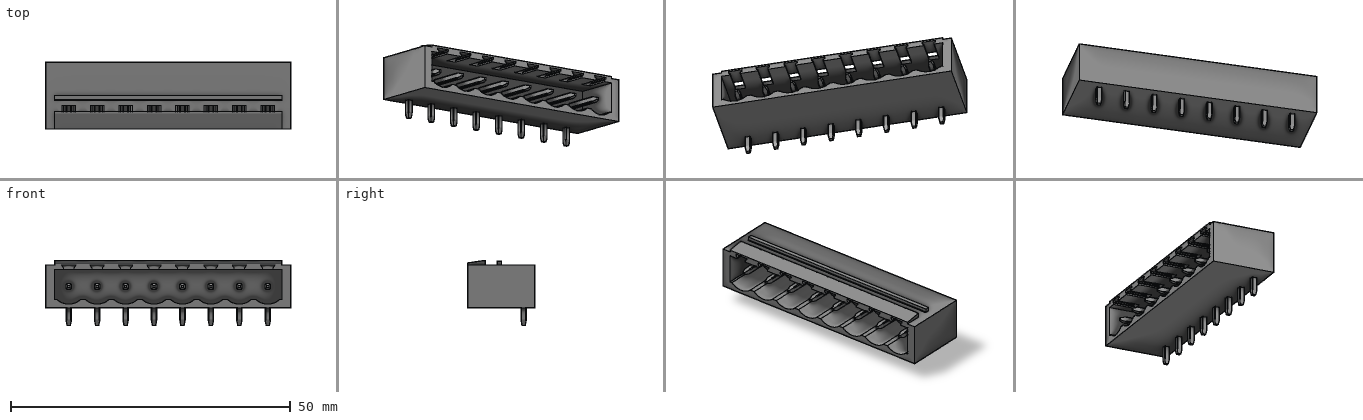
import cadquery as cq

pin_count = 8
pitch = 5.08
pin_xs = [(i - (pin_count - 1) / 2) * pitch for i in range(pin_count)]

side_wall = 1.6
cavity_width = pin_count * pitch
housing_width = cavity_width + 2 * side_wall
housing_depth = 12.0
housing_height = 7.67

cavity_depth = 8.5
cavity_floor_z = 1.45
cavity_ceiling_z = 6.85

pin_size = 1.0
pin_edge_bevel = 0.15
contact_end_size = 0.4
leg_end_size = 0.6
contact_taper = 1.2
leg_taper = 1.05
pin_z = 3.8
pin_tip_y = 0.8
leg_y = 10.0
leg_length = 3.2

flute_radius = 3.15

ridge_depth = 3.15
ridge_land = 0.4
ridge_front_height = 0.36
ridge_back_height = 0.76

slot_depth = 4.2
slot_top_width = 2.42
slot_throat_width = 1.84
slot_lip_height = 0.25

rib_front_y = 5.27
rib_back_y = 6.05
rib_foot_depth = 0.13
rib_foot_height = 0.08
rib_height = 0.65


def extrude_back(outline, depth):
    """Extrude an XZ outline from the mating face towards +Y."""
    return outline.extrude(-depth)


def top_strip(profile):
    """Bar as long as the cavity is wide, from a (y, z) profile."""
    start = cq.Workplane("YZ").workplane(offset=-cavity_width / 2)
    return start.polyline(profile).close().extrude(cavity_width)


def make_ridge():
    return top_strip([
        (0, housing_height),
        (ridge_depth, housing_height),
        (ridge_depth, housing_height + ridge_back_height),
        (ridge_depth - ridge_land, housing_height + ridge_back_height),
        (0, housing_height + ridge_front_height),
    ])


def make_rib():
    return top_strip([
        (rib_front_y - rib_foot_depth, housing_height),
        (rib_back_y, housing_height),
        (rib_back_y, housing_height + rib_height),
        (rib_front_y, housing_height + rib_height),
        (rib_front_y, housing_height + rib_foot_height),
    ])


def make_cavity():
    cavity = cq.Workplane("XY").box(
        cavity_width,
        cavity_depth,
        cavity_ceiling_z - cavity_floor_z,
        centered=(True, False, False),
    ).translate((0, 0, cavity_floor_z))
    for x in pin_xs:
        flute = extrude_back(cq.Workplane("XZ").center(x, pin_z).circle(flute_radius), cavity_depth)
        below_pin = cq.Workplane("XY").box(
            pitch, cavity_depth, pin_z, centered=(True, False, False)
        ).translate((x, 0, 0))
        cavity = cavity.union(flute.intersect(below_pin))
    return cavity


def make_slot(x):
    throat_top_z = housing_height - slot_lip_height - (slot_top_width - slot_throat_width) / 2
    outline = cq.Workplane("XZ").polyline([
        (x - slot_top_width / 2, housing_height),
        (x + slot_top_width / 2, housing_height),
        (x + slot_top_width / 2, housing_height - slot_lip_height),
        (x + slot_throat_width / 2, throat_top_z),
        (x + slot_throat_width / 2, cavity_ceiling_z),
        (x - slot_throat_width / 2, cavity_ceiling_z),
        (x - slot_throat_width / 2, throat_top_z),
        (x - slot_top_width / 2, housing_height - slot_lip_height),
    ]).close()
    return extrude_back(outline, slot_depth)


def make_bar(length, end_size, taper):
    """Upright bevelled bar from z = 0 to `length`, tapered on its four flats at the lower end."""
    bar = cq.Workplane("XY").rect(pin_size, pin_size).extrude(length).edges("|Z").chamfer(pin_edge_bevel)
    envelope = (
        cq.Workplane("XY")
        .rect(end_size, end_size)
        .workplane(offset=taper)
        .rect(pin_size, pin_size)
        .loft()
        .faces(">Z")
        .workplane()
        .rect(pin_size, pin_size)
        .extrude(length - taper)
    )
    return bar.intersect(envelope)


def make_pin(x):
    """Right-angle pin: a contact along Y joined to a leg through the board face."""
    leg_top = pin_z + pin_size / 2
    contact_end = leg_y + pin_size / 2
    leg = make_bar(leg_top + leg_length, leg_end_size, leg_taper).translate((0, leg_y, -leg_length))
    contact = make_bar(contact_end - pin_tip_y, contact_end_size, contact_taper)
    contact = contact.rotate((0, 0, 0), (1, 0, 0), -90).translate((0, pin_tip_y, pin_z))
    return contact.union(leg).translate((x, 0, 0))


pins = [make_pin(x) for x in pin_xs]

housing = cq.Workplane("XY").box(
    housing_width, housing_depth, housing_height, centered=(True, False, False)
)
housing = housing.cut(make_cavity())
for x in pin_xs:
    housing = housing.cut(make_slot(x))
housing = housing.union(make_ridge()).union(make_rib())
for pin in pins:
    housing = housing.cut(pin)

result = cq.Compound.makeCompound([housing.val(), *[pin.val() for pin in pins]])